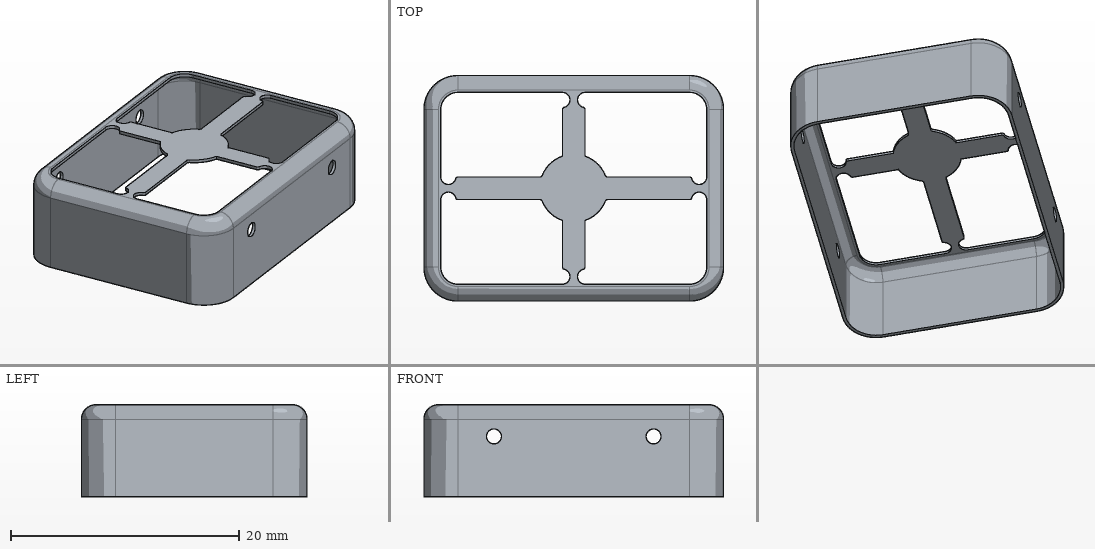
import cadquery as cq

length = 26.3
width = 19.8
height = 8.1
corner_radius = 3.0
top_edge_radius = 1.3
wall = 0.3
rim_width = 1.5

cross_thickness = wall
spoke_width = 2.0
hub_diameter = 6.0
spoke_corner_radius = 0.2
hub_blend_radius = 0.2

notch_radius = 0.65

hole_diameter = 1.3
hole_spacing = 14.0
hole_drop = 2.8

opening_length = length - 2 * rim_width
opening_width = width - 2 * rim_width
opening_radius = corner_radius - rim_width


def rounded_block(size_x, size_y, size_z, radius):
    """Block standing on Z = 0 with rounded vertical edges."""
    return cq.Workplane("XY").rect(size_x, size_y).extrude(size_z).edges("|Z").fillet(radius)


def domed_block(inset):
    """Frame envelope shrunk inward by the inset on its sides and top, with a rounded top edge."""
    block = rounded_block(length - 2 * inset, width - 2 * inset, height - inset, corner_radius - inset)
    return block.faces(">Z").edges().fillet(top_edge_radius - inset)


def frame():
    """Shell of even thickness, open below, with a rounded opening in its top."""
    shell = domed_block(0).cut(domed_block(wall))
    return shell.cut(rounded_block(opening_length, opening_width, height, opening_radius))


def spoke_pair(span):
    """Bar along X across the opening, necked down at both ends."""
    plane = cq.Workplane("XY").workplane(offset=height - cross_thickness)
    bar = plane.rect(span, spoke_width).extrude(cross_thickness)
    notch_x = span / 2 - notch_radius
    notch_y = spoke_width / 2
    notch_centers = [(sx * notch_x, sy * notch_y) for sx in (-1, 1) for sy in (-1, 1)]
    bar = bar.cut(plane.pushPoints(notch_centers).circle(notch_radius).extrude(cross_thickness))
    inner_corners = cq.selectors.BoxSelector((-notch_x, -spoke_width, 0), (notch_x, spoke_width, height))
    return bar.edges("|Z").edges(inner_corners).fillet(spoke_corner_radius)


def cross():
    """Round hub carried by four spokes."""
    hub = cq.Workplane("XY").workplane(offset=height - cross_thickness)
    hub = hub.circle(hub_diameter / 2).extrude(cross_thickness)
    spokes_y = spoke_pair(opening_width).rotate((0, 0, 0), (0, 0, 1), 90)
    hub_and_spokes_x = hub.union(spoke_pair(opening_length))
    hub_corners = cq.selectors.BoxSelector(
        (-hub_diameter / 2, -spoke_width, 0), (hub_diameter / 2, spoke_width, height)
    )
    blended = hub_and_spokes_x.edges("|Z").edges(hub_corners).fillet(hub_blend_radius)
    return blended.union(spokes_y)


def wall_holes():
    """Cylinders along Y that pass through both long walls."""
    hole_z = height - hole_drop
    centers = [(side * hole_spacing / 2, hole_z) for side in (-1, 1)]
    return cq.Workplane("XZ").pushPoints(centers).circle(hole_diameter / 2).extrude(width, both=True)


result = frame().union(cross()).cut(wall_holes())